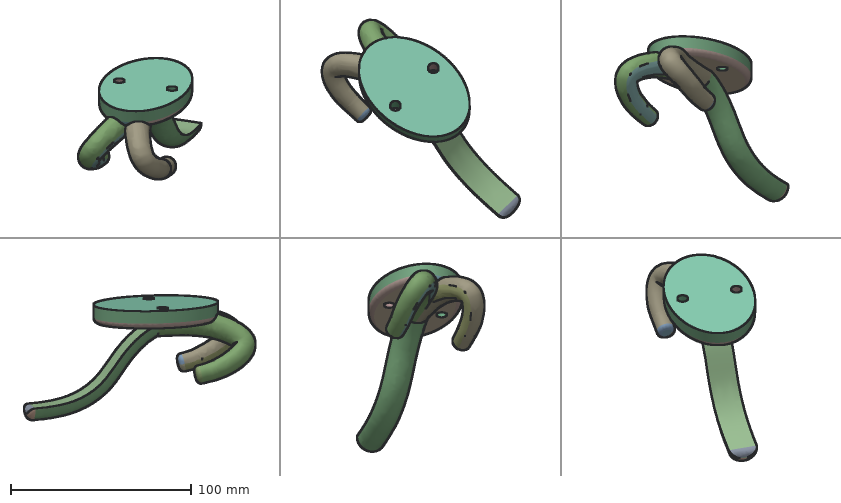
import cadquery as cq

PLATE_WIDTH = 49.2
PLATE_LENGTH = 70.4
PLATE_THICKNESS = 10.4
PLATE_EDGE_RADIUS = 3.3
HOLE_DIAMETER = 5.8
HOLE_SPACING = 31.0

ROOT_RADIUS = 8.25
ROOT = (0, 0, -PLATE_THICKNESS)

TONGUE_TIP_RADIUS = 8.1
TONGUE_TIP_ROUNDING = 3.8
TONGUE_POINTS = [
    ROOT,
    (0, 12.3, -17.9),
    (0, 21.6, -27.8),
    (0, 33.1, -42.4),
    (0, 47.0, -51.0),
    (0, 60.8, -54.1),
    (0, 74.55, -54.9),
]

HOOK_TIP_RADIUS = 5.2
HOOK_TIP_ROUNDING = 2.5
HOOK_START = (0.1, -1, 0)
HOOK_END = (0, 1, -0.2)
HOOK_POINTS = [
    ROOT,
    (2.6, -18.0, -10.9),
    (8.0, -36.0, -14.3),
    (15.4, -46.85, -22.6),
    (19.45, -38.5, -31.2),
    (19.7, -30.0, -35.2),
    (19.6, -18.0, -38.2),
]


def arm_path(points, tangents=None):
    """Smooth curve through the points, with optional start and end directions."""
    vectors = [cq.Vector(*point) for point in points]
    if tangents:
        tangents = [cq.Vector(*tangent) for tangent in tangents]
    return cq.Edge.makeSpline(vectors, tangents=tangents)


def root_plane():
    """Upright plane at the root; local Y points up."""
    return cq.Plane(origin=ROOT, xDir=(-1, 0, 0), normal=(0, 1, 0))


def tip_plane(path):
    """Plane square to the end of the path; local Y points up."""
    return cq.Plane(origin=path.positionAt(1), xDir=(-1, 0, 0), normal=path.tangentAt(1))


def half_disc(plane, radius):
    """Half disc hanging below the local X axis."""
    return (
        cq.Workplane(plane)
        .moveTo(-radius, 0)
        .threePointArc((0, -radius), (radius, 0))
        .close()
        .val()
    )


def disc(plane, radius):
    """Full disc centred on the plane origin."""
    return cq.Workplane(plane).circle(radius).val()


def taper_sweep(path, root_section, tip_section):
    """Solid that changes from the root section to the tip section along the path."""
    wire = cq.Wire.assembleEdges([path])
    return cq.Workplane(cq.Solid.sweep_multi([root_section, tip_section], wire))


def make_plate():
    """Elliptical disc with a rounded lower edge."""
    return (
        cq.Workplane("XY")
        .ellipse(PLATE_WIDTH / 2, PLATE_LENGTH / 2)
        .extrude(-PLATE_THICKNESS)
        .faces("<Z")
        .edges()
        .fillet(PLATE_EDGE_RADIUS)
    )


def make_screw_holes():
    """Two through holes on the X axis."""
    return (
        cq.Workplane("XY")
        .pushPoints([(-HOLE_SPACING / 2, 0), (HOLE_SPACING / 2, 0)])
        .circle(HOLE_DIAMETER / 2)
        .extrude(-PLATE_THICKNESS)
    )


def make_tongue():
    """Curved half-round arm reaching toward +Y, rounded at its tip."""
    path = arm_path(TONGUE_POINTS)
    tongue = taper_sweep(
        path,
        half_disc(root_plane(), ROOT_RADIUS),
        half_disc(tip_plane(path), TONGUE_TIP_RADIUS),
    )
    return tongue.faces(">Y").edges().fillet(TONGUE_TIP_ROUNDING)


def make_hook():
    """Tapering round arm on the +X side, curling back under itself to a rounded tip."""
    path = arm_path(HOOK_POINTS, [HOOK_START, HOOK_END])
    hook = taper_sweep(
        path,
        disc(root_plane(), ROOT_RADIUS),
        disc(tip_plane(path), HOOK_TIP_RADIUS),
    )
    tip_face = cq.selectors.NearestToPointSelector(HOOK_POINTS[-1])
    return hook.faces(tip_face).edges().fillet(HOOK_TIP_ROUNDING)


hook = make_hook()
result = (
    make_plate()
    .cut(make_screw_holes())
    .union(make_tongue())
    .union(hook)
    .union(hook.mirror("YZ"))
)